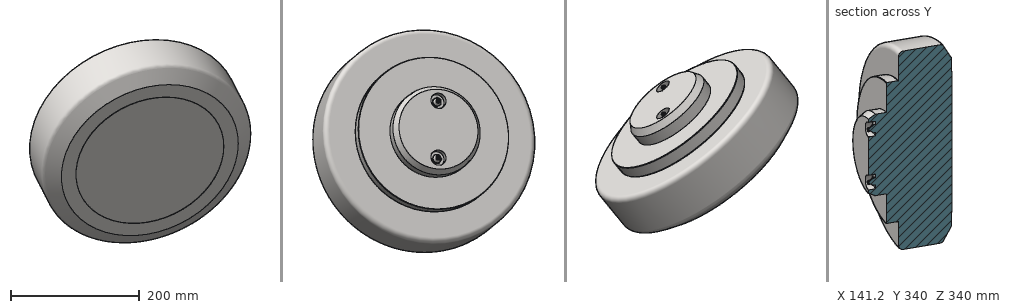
import cadquery as cq
import math


tyre_radius = 170.0
tyre_start = 50.5
tyre_end = 140.0
tyre_edge_fillet = 8.0
tyre_bevel_radial = 26.0
tyre_bevel_axial = 15.3

hub_radius = 241.5 / 2
hub_start = 30.0
hub_end = 140.5
hub_edge_axial = 1.0
hub_edge_radial = 0.7
hub_shoulder = 49.3

cap_radius = 140.0 / 2
cap_bevel_axial = 11.5
cap_bevel_angle = 30
cap_bevel_radial = cap_bevel_axial * math.tan(math.radians(cap_bevel_angle))

nipple_offset = 45.2
recess_diameter = 24.0
recess_depth = 12.2
hex_flats = 13.0
hex_height = 4.0
cone_base_radius = hex_flats / 2
cone_height = 6.0
neck_radius = 2.5
head_radius = 7.0 / 2
head_chamfer = 1.0
nipple_protrusion = 0.7
port_diameter = 1.5
port_depth = 2.0


def revolve_about_x(profile):
    """Revolve a closed (X, radius) profile a full turn about the X axis."""
    return profile.close().revolve(360, (0, 0, 0), (1, 0, 0))


def make_tyre():
    bevel_start = tyre_end - tyre_bevel_axial
    outline = (
        cq.Workplane("XY")
        .moveTo(tyre_start, 0)
        .lineTo(tyre_start, tyre_radius)
        .lineTo(bevel_start, tyre_radius)
        .lineTo(tyre_end, tyre_radius - tyre_bevel_radial)
        .lineTo(tyre_end, 0)
    )
    tyre = revolve_about_x(outline)
    rim = cq.selectors.RadiusNthSelector(-1)
    return tyre.edges("%CIRCLE").edges(rim).fillet(tyre_edge_fillet)


def make_hub():
    face_radius = hub_radius - hub_edge_radial
    outline = (
        cq.Workplane("XY")
        .moveTo(hub_start, 0)
        .lineTo(hub_start, face_radius)
        .lineTo(hub_start + hub_edge_axial, hub_radius)
        .lineTo(hub_shoulder, hub_radius)
        .lineTo(hub_shoulder + hub_edge_axial, face_radius)
        .lineTo(hub_end, face_radius)
        .lineTo(hub_end, 0)
    )
    return revolve_about_x(outline)


def make_cap():
    outline = (
        cq.Workplane("XY")
        .lineTo(0, cap_radius - cap_bevel_radial)
        .lineTo(cap_bevel_axial, cap_radius)
        .lineTo(hub_start, cap_radius)
        .lineTo(hub_start, 0)
    )
    return revolve_about_x(outline)


def make_recess():
    return cq.Workplane("YZ").circle(recess_diameter / 2).extrude(recess_depth)


def make_nipple(hex_turn):
    """Nipple on the X axis; hex_turn rotates its hexagon in degrees."""
    hex_top = recess_depth - hex_height
    cone_top = hex_top - cone_height
    tip = -nipple_protrusion
    hexagon = (
        cq.Workplane("YZ", origin=(hex_top, 0, 0))
        .polygon(6, hex_flats, circumscribed=True)
        .extrude(hex_height)
        .rotate((0, 0, 0), (1, 0, 0), hex_turn)
    )
    stem_outline = (
        cq.Workplane("XY")
        .moveTo(hex_top, 0)
        .lineTo(hex_top, cone_base_radius)
        .lineTo(cone_top, neck_radius)
        .lineTo(cone_top, head_radius)
        .lineTo(tip + head_chamfer, head_radius)
        .lineTo(tip, head_radius - head_chamfer)
        .lineTo(tip, 0)
    )
    port = cq.Workplane("YZ", origin=(tip, 0, 0)).circle(port_diameter / 2).extrude(port_depth)
    return hexagon.union(revolve_about_x(stem_outline)).cut(port)


result = make_tyre().union(make_hub()).union(make_cap())
for side, hex_turn in ((1, 0), (-1, 90)):
    position = (0, 0, side * nipple_offset)
    result = result.cut(make_recess().translate(position))
    result = result.union(make_nipple(hex_turn).translate(position))